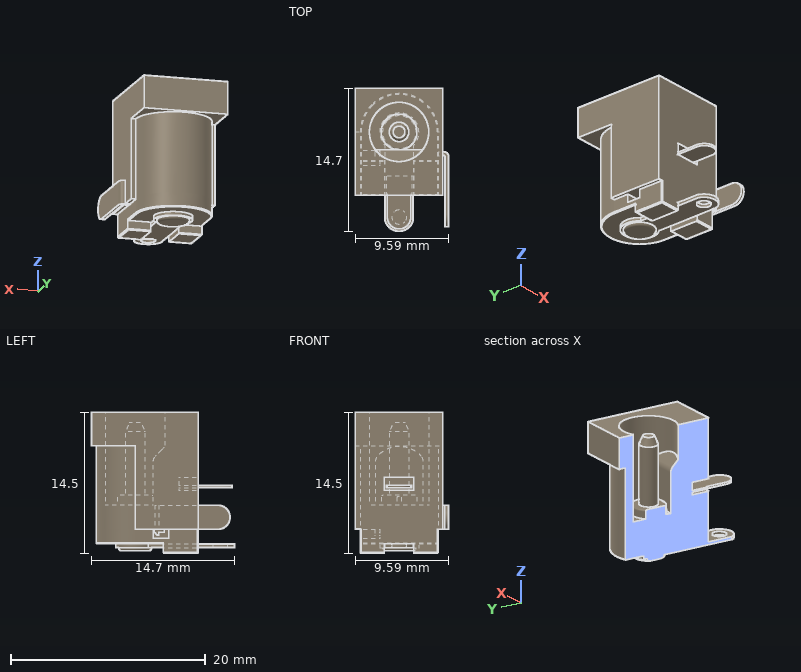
import cadquery as cq


overall_length = 14.7
shell_width = 9.0
shell_back = shell_width / 2
shell_front = -6.5
shell_bottom = 2.5
shell_top = 14.5
head_bottom = 11.02
barrel_radius = 4.0

bore_radius = 3.05
bore_floor = 5.0
boss_radius = 1.84
boss_top = 6.0
boss_fillet = 0.2
pin_radius = 1.0
pin_top = 13.44
pin_tip_radius = 0.6
pin_taper = 0.91

base_width = 2 * barrel_radius
base_bottom = 0.97
foot_back = -2.88
edge_break = 0.1
slot_width = 3.01
slot_top = 7.8
slot_depth = 2.0
tongue_top = 6.5

window_back = -1.87
window_front = -3.44
window_bottom = 1.56
window_depth = 2.0
hook_depth = 1.5
hook_gap = 0.1
hook_back = window_back - hook_gap
hook_bottom = 1.85
hook_chamfer = 0.32
hook_thickness = 0.47
post_width = 0.53
post_fillet = 0.49
post_bottom = 2.19

spring_crest = -1.82
spring_top = 11.0
spring_rise = bore_radius + spring_crest
bend_radius = 0.85

tab_thickness = 0.25
tab_bottom = 6.72
tab_width = 2.4
tab_end = -9.95
root_width = 2.65
root_setback = 0.15
root_front = shell_front + root_setback

plate_thickness = 0.38
plate_width = 2.91
plate_end = shell_back - overall_length
plate_end_radius = 1.5
plate_hole_radius = 0.75
plate_disc_radius = 2.0
rivet_radius = 1.7
rivet_height = 0.34
rivet_fillet = 0.32

side_outer = 5.09
side_thickness = 0.4
side_bottom = 2.45
side_height = 2.5
side_back = -2.03
side_end = -9.75
side_bend_radius = 0.1


def box(x_range, y_range, z_range):
    """Box between the given limits on each axis."""
    size = [high - low for low, high in (x_range, y_range, z_range)]
    return cq.Workplane("XY").box(*size, centered=False).translate((x_range[0], y_range[0], z_range[0]))


def centred_box(width, y_range, z_range):
    """Box that is symmetric about X = 0."""
    return box((-width / 2, width / 2), y_range, z_range)


def cylinder(radius, bottom, top):
    """Upright cylinder on the bore axis."""
    return cq.Workplane("XY").workplane(offset=bottom).circle(radius).extrude(top - bottom)


def make_shell():
    """Square head over a narrower back barrel, with a slot in the front wall."""
    head = centred_box(shell_width, (shell_front, shell_back), (head_bottom, shell_top))
    block = centred_box(shell_width, (shell_front, 0), (shell_bottom, head_bottom))
    barrel = cylinder(barrel_radius, shell_bottom, head_bottom)
    slot = centred_box(slot_width, (shell_front, shell_front + slot_depth), (shell_bottom, slot_top))
    bore = cylinder(bore_radius, bore_floor, shell_top)
    return head.union(block).union(barrel).cut(slot).cut(bore)


def make_pin():
    """Boss on the bore floor and the tapered centre pin."""
    boss = cylinder(boss_radius, bore_floor, boss_top).faces(">Z").edges().fillet(boss_fillet)
    profile = [
        (0, bore_floor),
        (pin_radius, bore_floor),
        (pin_radius, pin_top - pin_taper),
        (pin_tip_radius, pin_top),
        (0, pin_top),
    ]
    pin = cq.Workplane("XZ").polyline(profile).close().revolve(360, (0, 0, 0), (0, 1, 0))
    return boss.union(pin)


def make_base():
    """Plug that closes the shell, with two feet at the front and a tongue up the shell slot."""
    body = centred_box(base_width, (shell_front, 0), (base_bottom, shell_bottom))
    body = body.union(cylinder(barrel_radius, base_bottom, shell_bottom))
    body = body.faces("<Z").edges("not <Y").chamfer(edge_break)
    foot = centred_box(base_width, (shell_front, foot_back), (0, shell_bottom))
    foot = foot.edges("|Z and <Y").chamfer(edge_break)
    foot = foot.faces("<Z").chamfer(edge_break)
    corner_trim = centred_box(base_width, (shell_front, foot_back), (base_bottom, shell_bottom))
    notch = centred_box(slot_width, (shell_front, foot_back), (0, base_bottom))
    tongue = centred_box(slot_width, (shell_front, shell_front + slot_depth), (shell_bottom, tongue_top))
    return body.cut(corner_trim).union(foot).cut(notch).union(tongue)


def make_window():
    """Recess in the -X side of the base, below the shell."""
    side = -base_width / 2
    return box((side, side + window_depth), (window_front, window_back), (window_bottom, shell_bottom))


def make_hook():
    """Contact hook and rounded post hanging at the inner end of the window."""
    start = -base_width / 2 + hook_depth
    end = -base_width / 2 + window_depth
    hook_front = hook_back - hook_thickness
    hook = box((start, end), (hook_front, hook_back), (hook_bottom, shell_bottom))
    hook = hook.edges("|X and >Y and <Z").chamfer(hook_chamfer)
    post = box((start, end), (hook_front - post_width, hook_front), (post_bottom, shell_bottom))
    post = post.edges("|Z and <X and <Y").fillet(post_fillet)
    return hook.union(post)


def make_tab():
    """Flat solder tab in the front slot, with a round end and a wider root."""
    z_range = (tab_bottom, tab_bottom + tab_thickness)
    end_centre = tab_end + tab_width / 2
    root = centred_box(root_width, (root_front, spring_crest), z_range)
    strip = centred_box(tab_width, (end_centre, root_front), z_range)
    round_end = cylinder(tab_width / 2, *z_range).translate((0, end_centre, 0))
    return root.union(strip).union(round_end)


def make_spring():
    """Contact spring on the -Y side of the bore: a 45 degree ramp that bends down beside the pin."""
    profile = [
        (-bore_radius, bore_floor),
        (spring_crest, bore_floor),
        (spring_crest, spring_top - spring_rise),
        (-bore_radius, spring_top),
    ]
    spring = cq.Workplane("YZ").polyline(profile).close().extrude(bore_radius, both=True)
    spring = spring.edges("|X and >Y and (not <Z)").fillet(bend_radius)
    return spring.intersect(cylinder(bore_radius, bore_floor, shell_top))


def make_plate():
    """Flat pin terminal: disc under the base, strip to the front with a drilled round end."""
    bottom = base_bottom - plate_thickness
    end_centre = plate_end + plate_end_radius
    strip = centred_box(plate_width, (plate_end, 0), (bottom, base_bottom))
    round_end = cylinder(plate_end_radius, bottom, base_bottom).translate((0, end_centre, 0))
    reach = centred_box(plate_width, (end_centre, 0), (bottom, base_bottom))
    strip = strip.intersect(round_end.union(reach))
    hole = cylinder(plate_hole_radius, bottom, base_bottom).translate((0, end_centre, 0))
    disc = cylinder(plate_disc_radius, bottom, base_bottom)
    rivet = cylinder(rivet_radius, bottom - rivet_height, bottom).faces("<Z").edges().fillet(rivet_fillet)
    return disc.union(strip).cut(hole).union(rivet)


def make_side_terminal():
    """L-bent strip: it leaves the shell toward +X and turns to -Y, with a round end."""
    end_radius = side_height / 2
    end_centre = side_end + end_radius
    leg_front = side_back - side_thickness
    z_range = (side_bottom, side_bottom + side_height)
    strip = box((barrel_radius, side_outer), (end_centre, side_back), z_range)
    strip = strip.edges("|Z and >X and >Y").fillet(side_bend_radius + side_thickness)
    gap = box((barrel_radius, side_outer - side_thickness), (end_centre, leg_front), z_range)
    gap = gap.edges("|Z and >X and >Y").fillet(side_bend_radius)
    round_end = (
        cq.Workplane("YZ")
        .center(end_centre, side_bottom + end_radius)
        .circle(end_radius)
        .extrude(side_thickness)
        .translate((side_outer - side_thickness, 0, 0))
    )
    return strip.cut(gap).union(round_end)


result = make_shell().union(make_pin()).union(make_spring())
for part in (
    make_base().cut(make_window()).union(make_hook()),
    make_tab(),
    make_plate(),
    make_side_terminal(),
):
    result = result.union(part, clean=False)